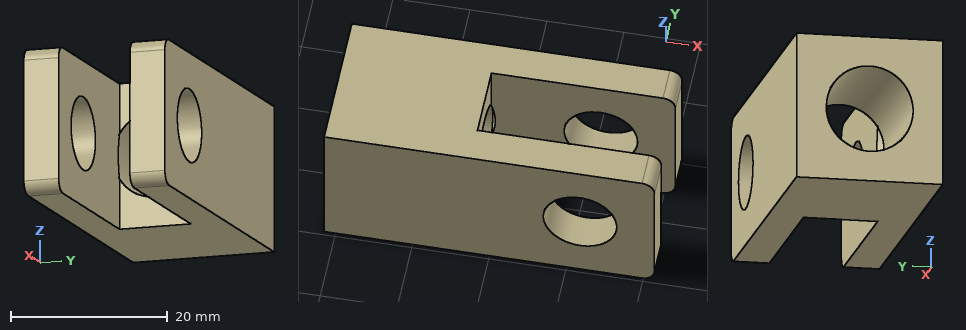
import cadquery as cq
import math

length = 42.95
width = 19.05
slot_width = 9.6
slot_depth = 23.85
pin_diameter = width / 2
pin_to_fork_end = 9.65
bore_diameter = 11.3
drill_point_angle = 118.0
corner_radius = 1.65

shank_length = length - slot_depth

body = cq.Workplane("XY").box(length, width, width, centered=(False, True, True))

body = body.faces(">X").edges("|Y").fillet(corner_radius)

slot = (
    cq.Workplane("XY")
    .box(slot_depth, slot_width, width, centered=(False, True, True))
    .translate((shank_length, 0, 0))
)

pin_hole = (
    cq.Workplane("XZ")
    .center(length - pin_to_fork_end, 0)
    .circle(pin_diameter / 2)
    .extrude(width / 2, both=True)
)

bore_radius = bore_diameter / 2
point_depth = bore_radius / math.tan(math.radians(drill_point_angle / 2))
shank_bore = (
    cq.Workplane("XY")
    .lineTo(0, bore_radius)
    .lineTo(shank_length, bore_radius)
    .lineTo(shank_length + point_depth, 0)
    .close()
    .revolve(360, (0, 0), (1, 0))
)

result = body.cut(slot).cut(pin_hole).cut(shank_bore)